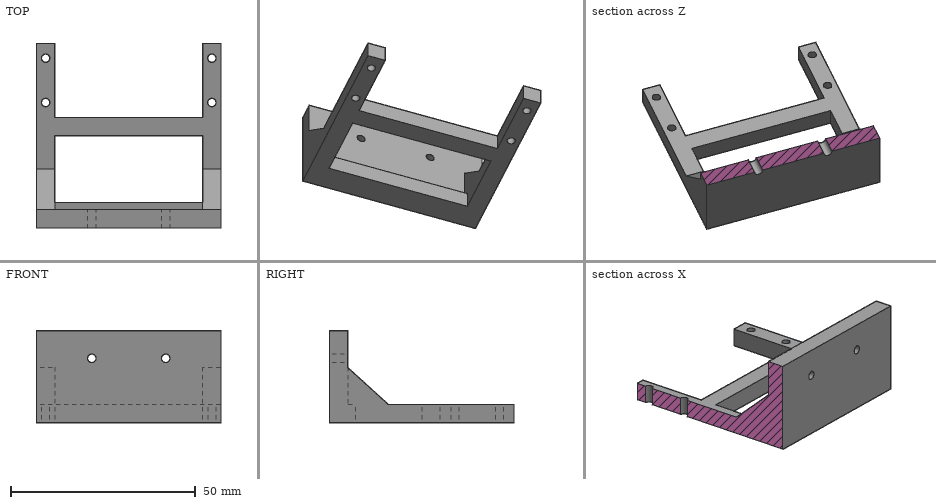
import cadquery as cq

width = 50.0
depth = 50.0
height = 25.0

thickness = 5.0
inner_width = width - 2 * thickness

gusset_end_y = 16.0
gusset_top_z = 15.0

ledge_end_y = 7.0
crossbar_start_y = 25.0
crossbar_end_y = crossbar_start_y + thickness

plate_hole_diameter = 2.25
plate_hole_spacing = 20.0
plate_hole_z = 17.5
rail_hole_diameter = 2.2
rail_hole_spacing_x = width - thickness
rail_hole_ys = (34.0, 46.0)


def side_profile_body():
    """Side outline, with the gusset slope, extruded over the full width."""
    outline = [
        (0, 0),
        (depth, 0),
        (depth, thickness),
        (gusset_end_y, thickness),
        (thickness, gusset_top_z),
        (thickness, height),
        (0, height),
    ]
    return cq.Workplane("YZ").polyline(outline).close().extrude(width / 2, both=True)


def space_between_rails(start_y, end_y, bottom_z):
    """Block as wide as the gap between the rails, reaching up to the top."""
    return (
        cq.Workplane("XY", origin=(0, (start_y + end_y) / 2, bottom_z))
        .rect(inner_width, end_y - start_y)
        .extrude(height - bottom_z)
    )


def plate_holes():
    """Pair of holes through the upright plate."""
    return (
        cq.Workplane("XZ", origin=(0, 0, plate_hole_z))
        .rarray(plate_hole_spacing, 1, 2, 1)
        .circle(plate_hole_diameter / 2)
        .extrude(-thickness)
    )


def rail_holes():
    """Two vertical holes through the free end of each side rail."""
    side_x = rail_hole_spacing_x / 2
    centers = [(x, y) for x in (-side_x, side_x) for y in rail_hole_ys]
    return cq.Workplane("XY").pushPoints(centers).circle(rail_hole_diameter / 2).extrude(thickness)


result = side_profile_body()

result = result.cut(space_between_rails(thickness, gusset_end_y, thickness))

result = result.cut(space_between_rails(ledge_end_y, crossbar_start_y, 0))
result = result.cut(space_between_rails(crossbar_end_y, depth, 0))

result = result.cut(plate_holes())
result = result.cut(rail_holes())